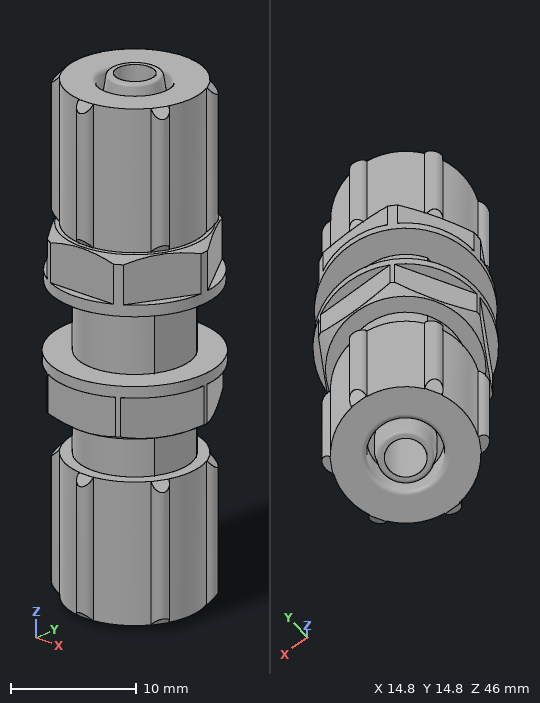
import cadquery as cq
import math

total_length = 46.0
nozzle_protrusion = 0.5
cap_length = 12.5
flange_thickness = 1.0
hex_height = 4.0
flange_gap = 6.03

bore_d = 3.4
nozzle_d = 5.0
nozzle_tip_d = 4.55
nozzle_taper_length = 1.5
nozzle_tip_fillet = 0.28

shank_d = 10.0
shank_across_flats = 8.5

hex_across_flats = 13.0
hex_chamfer_d = 12.8
hex_chamfer_angle = 30.0
body_flange_d = 14.6
nut_flange_d = 14.8

cap_d = 12.0
rib_width = 1.5
rib_count = 6
cap_mouth_d = 6.2
cap_mouth_fillet = 0.45
cap_wall = 3.0

upper_cap_top = total_length - nozzle_protrusion
body_hex_top = upper_cap_top - cap_length
body_flange_bottom = body_hex_top - hex_height - flange_thickness
nut_flange_top = body_flange_bottom - flange_gap
nozzle_length = nozzle_protrusion + cap_wall
shank_length = total_length - 2 * nozzle_length


def flanged_hex(flange_d):
    """A round flange standing on Z = 0 with a hexagon above it, chamfered on top, flats on the Y sides."""
    top = flange_thickness + hex_height
    chamfer_drop = (flange_d - hex_chamfer_d) / 2 * math.tan(math.radians(hex_chamfer_angle))
    hex_corner_d = hex_across_flats / math.cos(math.pi / 6)
    flange = cq.Workplane("XY").circle(flange_d / 2).extrude(flange_thickness)
    hexagon = cq.Workplane("XY").workplane(offset=flange_thickness).polygon(6, hex_corner_d).extrude(hex_height)
    envelope = (
        cq.Workplane("XZ")
        .moveTo(0, 0)
        .lineTo(flange_d / 2, 0)
        .lineTo(flange_d / 2, top - chamfer_drop)
        .lineTo(hex_chamfer_d / 2, top)
        .lineTo(0, top)
        .close()
        .revolve(360, (0, 0, 0), (0, 1, 0))
    )
    return flange.union(hexagon.intersect(envelope))


def upside_down(shape):
    return shape.rotate((0, 0, 0), (1, 0, 0), 180)


def make_nozzle():
    """A tube end of the body, its root on Z = 0, tapered and rounded towards its free end."""
    return (
        cq.Workplane("XZ")
        .moveTo(0, 0)
        .lineTo(nozzle_d / 2, 0)
        .lineTo(nozzle_d / 2, nozzle_length - nozzle_taper_length)
        .lineTo(nozzle_tip_d / 2, nozzle_length)
        .lineTo(0, nozzle_length)
        .close()
        .revolve(360, (0, 0, 0), (0, 1, 0))
        .faces(">Z")
        .edges()
        .fillet(nozzle_tip_fillet)
    )


def make_body():
    """The shank with a nozzle at each end, its own flanged hexagon and a bore through everything."""
    shank = cq.Workplane("XY").circle(shank_d / 2).extrude(shank_length)
    flats = cq.Workplane("XY").rect(shank_across_flats, shank_d).extrude(shank_length)
    shank = shank.intersect(flats).translate((0, 0, nozzle_length))
    upper_nozzle = make_nozzle().translate((0, 0, total_length - nozzle_length))
    lower_nozzle = upside_down(make_nozzle()).translate((0, 0, nozzle_length))
    collar = flanged_hex(body_flange_d).translate((0, 0, body_flange_bottom))
    bore = cq.Workplane("XY").circle(bore_d / 2).extrude(total_length)
    return shank.union(upper_nozzle).union(lower_nozzle).union(collar).cut(bore)


def make_nut():
    """The loose flanged nut around the shank, its flange facing up."""
    nut = upside_down(flanged_hex(nut_flange_d))
    hole = cq.Workplane("XY").circle(shank_d / 2).extrude(-flange_thickness - hex_height)
    return nut.cut(hole).translate((0, 0, nut_flange_top))


def make_rib():
    """A round rib along the +Y side, cut off at 45 degrees at both ends."""
    base_y = cap_d / 2
    rib_radius = rib_width / 2
    rib_top_y = base_y + rib_radius
    rib_bottom_y = base_y - rib_radius
    rib = cq.Workplane("XY").center(0, base_y).circle(rib_radius).extrude(cap_length)
    side_profile = (
        cq.Workplane("YZ")
        .moveTo(rib_bottom_y, 0)
        .lineTo(base_y, 0)
        .lineTo(rib_top_y, rib_radius)
        .lineTo(rib_top_y, cap_length - rib_radius)
        .lineTo(base_y, cap_length)
        .lineTo(rib_bottom_y, cap_length)
        .close()
        .extrude(rib_width, both=True)
    )
    return rib.intersect(side_profile)


def make_cap():
    """A ribbed cap, open at Z = 0, with a rounded mouth in its top wall."""
    socket = cq.Workplane("XY").circle(shank_d / 2).extrude(cap_length - cap_wall)
    cap = (
        cq.Workplane("XY")
        .circle(cap_d / 2)
        .circle(cap_mouth_d / 2)
        .extrude(cap_length)
        .faces(">Z")
        .edges(cq.selectors.RadiusNthSelector(0))
        .fillet(cap_mouth_fillet)
        .cut(socket)
    )
    rib = make_rib()
    for i in range(rib_count):
        cap = cap.union(rib.rotate((0, 0, 0), (0, 0, 1), i * 360 / rib_count))
    return cap


body = make_body()
nut = make_nut()
upper_cap = make_cap().translate((0, 0, body_hex_top))
lower_cap = upside_down(make_cap()).translate((0, 0, nozzle_protrusion + cap_length))

result = cq.Compound.makeCompound([body.val(), nut.val(), upper_cap.val(), lower_cap.val()])